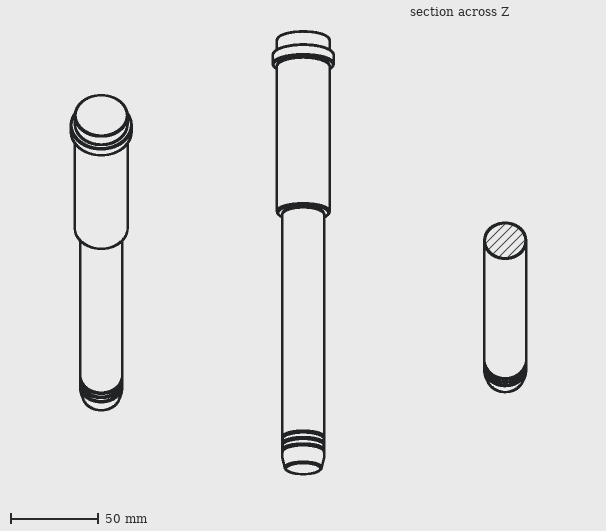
import cadquery as cq

total_length = 260.0
collar_radius = 35.0 / 2
sleeve_radius = 30.5 / 2
shaft_radius = 24.2 / 2

sleeve_bottom = 155.0
sleeve_chamfer = 0.8
collar_bottom = 244.7
collar_top = 251.2
collar_chamfer = 0.5
head_chamfer = 0.5

undercut_height = 0.8
undercut_depth = 0.4

tip_radius = 10.7
tip_height = 7.0
tip_chamfer = 0.8

groove_count = 3
groove_pitch = 4.0
groove_width = 1.3
groove_depth = 0.4
lowest_groove_center = 10.7

profile = [
    (0, 0),
    (tip_radius - tip_chamfer, 0),
    (tip_radius, tip_chamfer),
    (shaft_radius, tip_height),
]

for index in range(groove_count):
    groove_center = lowest_groove_center + index * groove_pitch
    profile += [
        (shaft_radius, groove_center - groove_width / 2),
        (shaft_radius - groove_depth, groove_center),
        (shaft_radius, groove_center + groove_width / 2),
    ]

profile += [
    (shaft_radius, sleeve_bottom - undercut_height),
    (shaft_radius - undercut_depth, sleeve_bottom - undercut_height),
    (shaft_radius - undercut_depth, sleeve_bottom),
    (sleeve_radius - sleeve_chamfer, sleeve_bottom),
    (sleeve_radius, sleeve_bottom + sleeve_chamfer),
]

profile += [
    (sleeve_radius, collar_bottom - undercut_height),
    (sleeve_radius - undercut_depth, collar_bottom - undercut_height),
    (sleeve_radius - undercut_depth, collar_bottom),
    (collar_radius - collar_chamfer, collar_bottom),
    (collar_radius, collar_bottom + collar_chamfer),
    (collar_radius, collar_top - collar_chamfer),
    (collar_radius - collar_chamfer, collar_top),
    (sleeve_radius - undercut_depth, collar_top),
    (sleeve_radius - undercut_depth, collar_top + undercut_height),
    (sleeve_radius, collar_top + undercut_height),
]

profile += [
    (sleeve_radius, total_length - head_chamfer),
    (sleeve_radius - head_chamfer, total_length),
    (0, total_length),
]

result = cq.Workplane("XZ").polyline(profile).close().revolve(360, (0, 0), (0, 1))